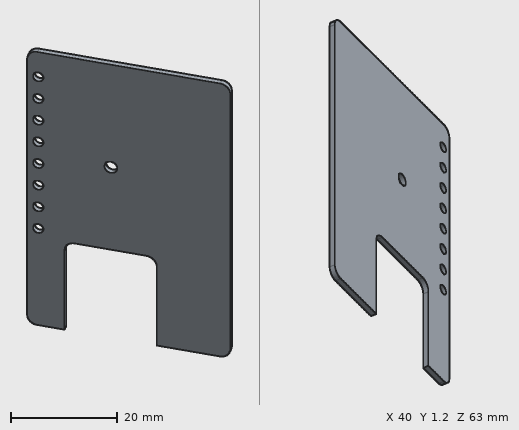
import cadquery as cq

width = 40.0
height = 63.0
thickness = 1.2
corner_radius = 2.0

notch_left = 7.4
notch_width = 18.15
notch_depth = 20.3

row_hole_diameter = 2.0
row_hole_count = 8
row_length = 34.95
row_hole_pitch = row_length / (row_hole_count - 1)
row_hole_x = 2.2
row_top_z = height - 5.75

center_hole_diameter = 2.5
center_hole_x = 16.5
center_hole_z = height - 23.7


def make_plate():
    """Rectangular plate with four rounded corners."""
    plate = cq.Workplane("XY").box(width, thickness, height, centered=False)
    return plate.edges("|Y").fillet(corner_radius)


def make_notch():
    """Notch cutter, rounded at its two upper corners."""
    block = cq.Workplane("XY").box(notch_width, thickness, notch_depth, centered=False)
    return block.edges("|Y and >Z").fillet(corner_radius).translate((notch_left, 0, 0))


def make_hole(x, z, diameter):
    """Cutter for a hole through the plate thickness."""
    return cq.Workplane("XZ").center(x, z).circle(diameter / 2).extrude(-thickness)


result = make_plate().cut(make_notch())
for index in range(row_hole_count):
    hole_z = row_top_z - index * row_hole_pitch
    result = result.cut(make_hole(row_hole_x, hole_z, row_hole_diameter))
result = result.cut(make_hole(center_hole_x, center_hole_z, center_hole_diameter))